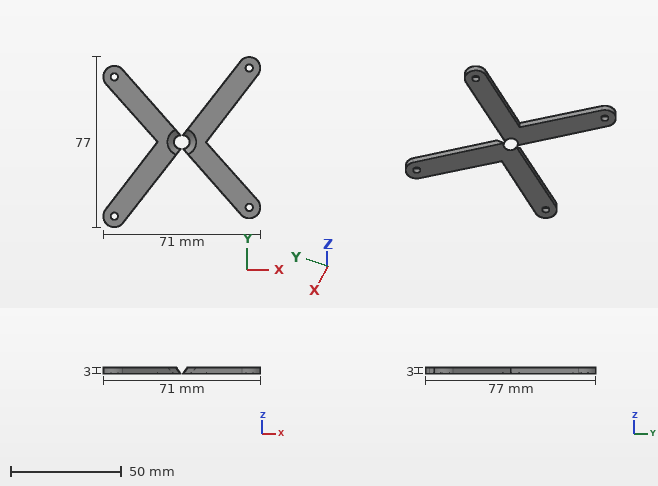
import cadquery as cq
import math

thickness = 3.0
pad_radius = 5.0
screw_hole_diameter = 3.2

screw_x = 30.5
upper_screw = (screw_x, 33.5)
lower_screw = (screw_x, -29.5)

fold_y = -0.1
inner_corner = (11.0, fold_y)
outer_corner = (-2.0, fold_y)

inner_edge_lead = 0.0
outer_edge_lead = 6.0

seat_offset = 0.5
seat_bottom_radius = 3.0
seat_top_radius = seat_bottom_radius + thickness


def pad_point(screw, angle):
    """Point on the rim of the pad around a screw, at an angle in radians from +X."""
    return (
        screw[0] + pad_radius * math.cos(angle),
        screw[1] + pad_radius * math.sin(angle),
    )


def edge_end(corner, screw, side, lead):
    """Point where the edge from a corner meets the pad.

    Side is +1 for the left and -1 for the right of the line from corner to screw.
    Lead is the angle in degrees by which the end lies past the tangent point.
    """
    dx = corner[0] - screw[0]
    dy = corner[1] - screw[1]
    tangent_turn = math.acos(pad_radius / math.hypot(dx, dy))
    turn = tangent_turn + math.radians(lead)
    return pad_point(screw, math.atan2(dy, dx) - side * turn)


def pad_tip(screw):
    """Point of the pad opposite the inner corner of the V."""
    angle = math.atan2(screw[1] - inner_corner[1], screw[0] - inner_corner[0])
    return pad_point(screw, angle)


def make_plate():
    """V-shaped plate with a round pad at the end of each arm."""
    return (
        cq.Workplane("XY")
        .moveTo(*outer_corner)
        .lineTo(*edge_end(outer_corner, lower_screw, -1, outer_edge_lead))
        .threePointArc(
            pad_tip(lower_screw),
            edge_end(inner_corner, lower_screw, 1, inner_edge_lead),
        )
        .lineTo(*inner_corner)
        .lineTo(*edge_end(inner_corner, upper_screw, -1, inner_edge_lead))
        .threePointArc(
            pad_tip(upper_screw),
            edge_end(outer_corner, upper_screw, 1, outer_edge_lead),
        )
        .close()
        .extrude(thickness)
    )


def make_screw_holes():
    """Cutters for the screw holes at the centres of the pads."""
    return (
        cq.Workplane("XY")
        .pushPoints([upper_screw, lower_screw])
        .circle(screw_hole_diameter / 2)
        .extrude(thickness)
    )


def make_seat():
    """Conical cutter that widens from the bottom face to the top face."""
    return (
        cq.Workplane("XZ")
        .polyline([(0, 0), (seat_bottom_radius, 0), (seat_top_radius, thickness), (0, thickness)])
        .close()
        .revolve(360, (0, 0, 0), (0, 1, 0))
        .translate((seat_offset, 0, 0))
    )


def make_bracket():
    """Right bracket: plate with two screw holes and half of the conical seat."""
    return make_plate().cut(make_screw_holes()).cut(make_seat())


brackets = []
for turn_angle in (0, 180):
    bracket = make_bracket().rotate((0, 0, 0), (0, 0, 1), turn_angle)
    brackets.append(bracket.solids().val())

result = cq.Compound.makeCompound(brackets)